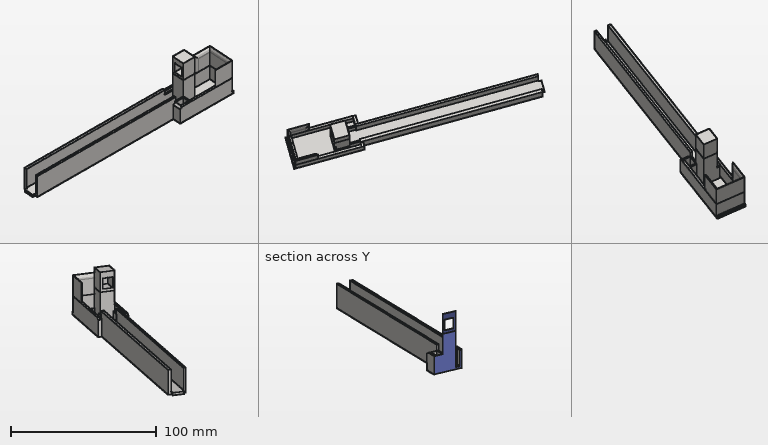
import cadquery as cq
import math


length = 179.9
width = 22.5
floor_height = 2.0

tray_front = 129.7
tray_back = 178.6
tray_height = 13.9
wall = 1.8
front_wall = 2.2
front_bevel_drop = 1.5

hood_front = 162.8
hood_top = 29.0
flare_height = 3.2
rim = 0.2
flare_depth = wall - rim

tower_left = 4.9
tower_right = 15.7
tower_front = 139.0
tower_back = 149.9
tower_top = hood_top
cap_top = 43.5
socket_left = 7.0
socket_right = 14.0
socket_bottom = 31.1
socket_top = 38.9
socket_depth = 9.0

rail_left = 2.7
rail_right = tower_right
rail_front = 2.2
rail_back = tray_front + front_wall
rail_height = 18.2
channel_left = tower_left
channel_right = 14.0
tongue_left = 5.4
tongue_right = 13.5

rib = 1.0


def block(x_range, y_range, z_range):
    """Box between the given limits along each axis."""
    sizes = [high - low for low, high in (x_range, y_range, z_range)]
    corner = (x_range[0], y_range[0], z_range[0])
    return cq.Workplane("XY").box(*sizes, centered=False).translate(corner)


def make_tray():
    """Open box with a bevelled front wall and a lip along its rear edge."""
    tray = block((0, width), (tray_front, tray_back), (0, tray_height))
    cavity = block(
        (wall, width - wall), (rail_back, tray_back - wall), (floor_height, tray_height)
    )
    bevel = (
        cq.Workplane("YZ")
        .moveTo(tray_front, tray_height - front_bevel_drop)
        .lineTo(rail_back, tray_height)
        .lineTo(tray_front, tray_height)
        .close()
        .extrude(width)
    )
    lip = block((0, width), (tray_back - wall, length), (0, floor_height))
    return tray.cut(cavity).cut(bevel).union(lip)


def make_inner_walls():
    """Two walls between tower and front wall, and a cross rib on each side of the tower."""
    neck_y = (rail_back, tower_front)
    wall_z = (0, tray_height)
    left_neck = block((tower_left - rib, tower_left), neck_y, wall_z)
    right_neck = block((tower_right - rib, tower_right), neck_y, wall_z)
    left_rib = block((rail_left, tower_left), (tower_back - rib, tower_back), wall_z)
    right_rib = block((tower_right, width - wall), (tower_front, tower_front + rib), wall_z)
    return left_neck.union(right_neck).union(left_rib).union(right_rib)


def make_rail():
    """Long U-shaped channel with a tongue projecting from its floor."""
    rail = block((rail_left, rail_right), (rail_front, rail_back), (0, rail_height))
    tongue = block((tongue_left, tongue_right), (0, rail_back), (0, floor_height))
    return rail.union(tongue)


def make_base():
    """Tray, inner walls, tower and rail, which form one piece."""
    channel = block(
        (channel_left, channel_right), (rail_front, rail_back), (floor_height, rail_height)
    )
    tower = block((tower_left, tower_right), (tower_front, tower_back), (0, tower_top))
    base = make_tray().union(make_rail()).cut(channel)
    return base.union(make_inner_walls()).union(tower)


def flare_cutter(plane, inner, direction, edge, extent):
    """Prism that rounds a wall from its inner face out to a narrow rim.

    The first plane axis crosses the wall, outward along direction; the second
    points at the edge being flared. The arc is tangent to the inner face.
    """
    radius = (flare_depth**2 + flare_height**2) / (2 * flare_depth)
    half_angle = math.asin(flare_height / radius) / 2
    start = edge - flare_height
    middle_across = inner + direction * radius * (1 - math.cos(half_angle))
    middle_along = start + radius * math.sin(half_angle)
    return (
        cq.Workplane(plane)
        .moveTo(inner, start)
        .threePointArc((middle_across, middle_along), (inner + direction * flare_depth, edge))
        .lineTo(inner, edge)
        .close()
        .extrude(extent)
    )


def make_hood():
    """U-shaped wall whose top and front ends flare outward from the inside."""
    side_walls = ((wall, -1), (width - wall, 1))
    inner_back = tray_back - wall
    depth = tray_back - hood_front
    height = hood_top - tray_height
    side_plane = cq.Plane((0, tray_back, 0), xDir=(1, 0, 0), normal=(0, -1, 0))
    end_plane = cq.Plane((0, 0, hood_top), xDir=(1, 0, 0), normal=(0, 0, -1))

    hood = block((0, width), (hood_front, tray_back), (tray_height, hood_top))

    across = block((wall, width - wall), (hood_front, tray_back), (tray_height, hood_top))
    for inner, direction in side_walls:
        across = across.union(flare_cutter(side_plane, inner, direction, hood_top, depth))
    along = block((0, width), (hood_front, inner_back), (tray_height, hood_top))
    along = along.union(flare_cutter("YZ", inner_back, 1, hood_top, width))
    hood = hood.cut(across.intersect(along))

    for inner, direction in side_walls:
        hood = hood.cut(flare_cutter(end_plane, inner, direction, -hood_front, height))
    return hood


def make_cap():
    """Block on the tower with a blind rectangular socket in its front face."""
    cap = block((tower_left, tower_right), (tower_front, tower_back), (tower_top, cap_top))
    socket = block(
        (socket_left, socket_right),
        (tower_front, tower_front + socket_depth),
        (socket_bottom, socket_top),
    )
    return cap.cut(socket)


base = make_base()
hood = make_hood()
cap = make_cap()
result = cq.Compound.makeCompound([base.val(), hood.val(), cap.val()])